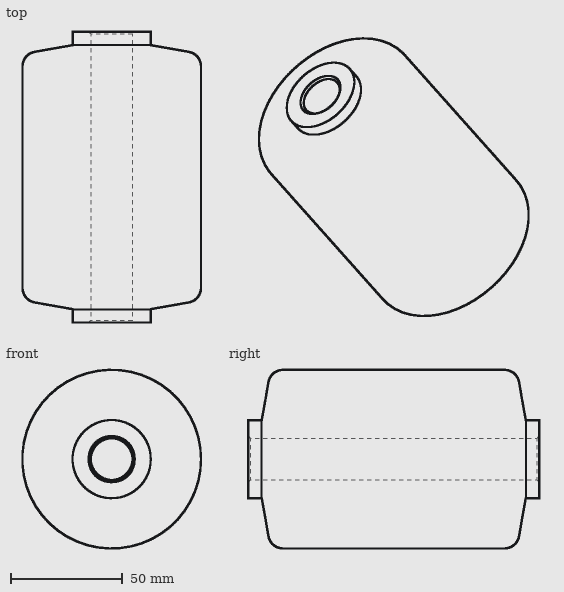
import cadquery as cq
import math

length = 130.0
body_diameter = 80.0
hub_diameter = 35.0
bore_diameter = 18.6
hub_length = 6.0
cone_angle = 10.0
rim_radius = 6.8
bore_chamfer = 1.0

body_radius = body_diameter / 2
hub_radius = hub_diameter / 2
bore_radius = bore_diameter / 2
half_length = length / 2
cone_top = half_length - hub_length

slope = math.radians(cone_angle)
arc_center_x = body_radius - rim_radius
arc_start_x = arc_center_x + rim_radius * math.sin(slope)
arc_start_y = cone_top - (arc_start_x - hub_radius) * math.tan(slope)
arc_center_y = arc_start_y - rim_radius * math.cos(slope)


def rim_point(angle, end):
    """Point on the rim arc at an angle from the X axis; end is +1 or -1 along Y."""
    return (
        arc_center_x + rim_radius * math.cos(angle),
        end * (arc_center_y + rim_radius * math.sin(angle)),
    )


def make_roller():
    """Revolved section of the roller, from the -Y end to the +Y end."""
    cone_tangent_angle = math.pi / 2 - slope
    arc_middle_angle = cone_tangent_angle / 2
    mouth_radius = bore_radius + bore_chamfer
    mouth_y = half_length - bore_chamfer
    profile = (
        cq.Workplane("XY")
        .moveTo(bore_radius, -mouth_y)
        .lineTo(mouth_radius, -half_length)
        .lineTo(hub_radius, -half_length)
        .lineTo(hub_radius, -cone_top)
        .lineTo(*rim_point(cone_tangent_angle, -1))
        .threePointArc(rim_point(arc_middle_angle, -1), rim_point(0, -1))
        .lineTo(*rim_point(0, 1))
        .threePointArc(rim_point(arc_middle_angle, 1), rim_point(cone_tangent_angle, 1))
        .lineTo(hub_radius, cone_top)
        .lineTo(hub_radius, half_length)
        .lineTo(mouth_radius, half_length)
        .lineTo(bore_radius, mouth_y)
        .close()
    )
    return profile.revolve(360, (0, 0, 0), (0, 1, 0))


result = make_roller()